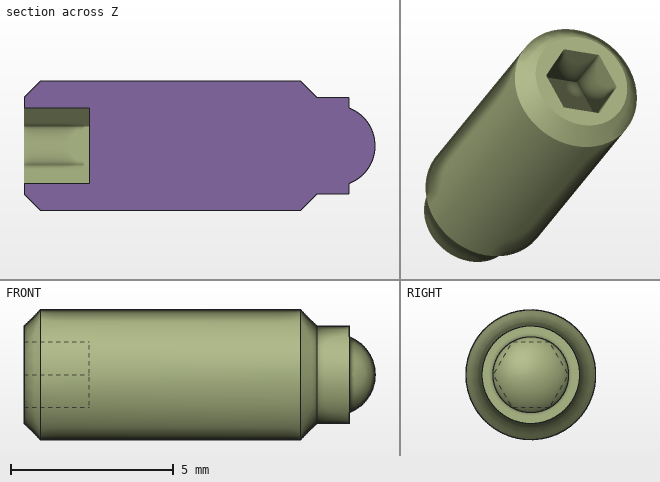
import cadquery as cq
import math

body_radius = 2.0
body_length = 9.0
end_chamfer = 0.5

nose_length = 1.0
nose_radius = body_radius - end_chamfer

ball_radius = 1.25
ball_protrusion = 0.8

socket_across_flats = 2.0
socket_depth = 2.0


def make_plunger():
    """Chamfered body, nose and exposed ball cap, turned about the X axis."""
    nose_end = body_length + nose_length
    tip = nose_end + ball_protrusion
    ball_center = tip - ball_radius

    rim_radius = math.sqrt(ball_radius**2 - (nose_end - ball_center) ** 2)

    mid_angle = math.atan2(rim_radius, nose_end - ball_center) / 2
    mid_x = ball_center + ball_radius * math.cos(mid_angle)
    mid_radius = ball_radius * math.sin(mid_angle)

    profile = (
        cq.Workplane("XY")
        .moveTo(0, 0)
        .lineTo(0, -(body_radius - end_chamfer))
        .lineTo(end_chamfer, -body_radius)
        .lineTo(body_length - end_chamfer, -body_radius)
        .lineTo(body_length, -nose_radius)
        .lineTo(nose_end, -nose_radius)
        .lineTo(nose_end, -rim_radius)
        .threePointArc((mid_x, -mid_radius), (tip, 0))
        .close()
    )
    return profile.revolve(360, (0, 0, 0), (1, 0, 0))


def make_socket():
    """Hexagonal recess with two corners at +Y and -Y and flats facing +Z and -Z."""
    across_corners = socket_across_flats / math.cos(math.pi / 6)
    return cq.Workplane("YZ").polygon(6, across_corners).extrude(socket_depth)


result = make_plunger().cut(make_socket())